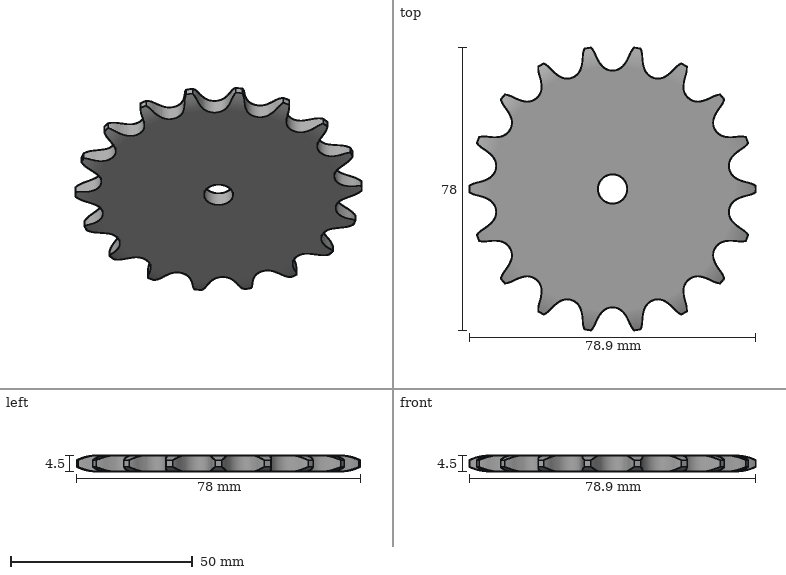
import cadquery as cq
import math

TEETH = 18
CHAIN_PITCH = 12.7
ROLLER_DIAMETER = 7.75
SEATING_CLEARANCE = 0.0381
OUTSIDE_DIAMETER = 78.9
TRIM_ALLOWANCE = 0.2
THICKNESS = 4.5
BORE_DIAMETER = 8.0

RELIEF_START_RADIUS = 33.8
RELIEF_ARC_RADIUS = CHAIN_PITCH

TOOTH_ANGLE = 2 * math.pi / TEETH
HALF_TOOTH_ANGLE = TOOTH_ANGLE / 2
PITCH_RADIUS = CHAIN_PITCH / (2 * math.sin(HALF_TOOTH_ANGLE))
TIP_RADIUS = OUTSIDE_DIAMETER / 2
UNTRIMMED_RADIUS = TIP_RADIUS + TRIM_ALLOWANCE

SEATING_RADIUS = 1.005 * ROLLER_DIAMETER / 2 + SEATING_CLEARANCE
SEATING_ANGLE = math.radians(35 + 60 / TEETH)
WORKING_ANGLE = math.radians(18 - 56 / TEETH)
WORKING_CENTER_DISTANCE = 0.8 * ROLLER_DIAMETER
WORKING_RADIUS = WORKING_CENTER_DISTANCE + SEATING_RADIUS
TOPPING_CENTER_DISTANCE = 1.4 * ROLLER_DIAMETER
TOPPING_ANGLE = math.radians(17 - 64 / TEETH)
TOPPING_RADIUS = (
    WORKING_CENTER_DISTANCE * math.cos(WORKING_ANGLE)
    + TOPPING_CENTER_DISTANCE * math.cos(TOPPING_ANGLE)
    - WORKING_RADIUS
)


def polar(center, radius, angle):
    """Point at a distance and direction from a center."""
    return (center[0] + radius * math.cos(angle), center[1] + radius * math.sin(angle))


def rotate(point, angle):
    """Point turned about the sprocket axis."""
    x, y = point
    return (
        x * math.cos(angle) - y * math.sin(angle),
        x * math.sin(angle) + y * math.cos(angle),
    )


def flank_points():
    """Right flank of a tooth gap centered on +Y, from the gap bottom to the untrimmed tip."""
    seat_center = (0, PITCH_RADIUS)
    working_center = polar(seat_center, WORKING_CENTER_DISTANCE, math.pi - SEATING_ANGLE)
    topping_center = polar(seat_center, TOPPING_CENTER_DISTANCE, -HALF_TOOTH_ANGLE)

    gap_bottom = polar(seat_center, SEATING_RADIUS, -math.pi / 2)
    seat_end = polar(seat_center, SEATING_RADIUS, -SEATING_ANGLE)

    straight_angle = WORKING_ANGLE - SEATING_ANGLE
    working_middle = polar(working_center, WORKING_RADIUS, WORKING_ANGLE / 2 - SEATING_ANGLE)
    working_end = polar(working_center, WORKING_RADIUS, straight_angle)
    topping_start_angle = straight_angle + math.pi
    topping_start = polar(topping_center, TOPPING_RADIUS, topping_start_angle)

    tooth_direction = math.pi / 2 - HALF_TOOTH_ANGLE
    center_height = (
        topping_center[0] * math.cos(tooth_direction)
        + topping_center[1] * math.sin(tooth_direction)
    )
    tip_turn = math.acos((UNTRIMMED_RADIUS - center_height) / TOPPING_RADIUS)
    tip_angle = tooth_direction + tip_turn
    topping_middle = polar(topping_center, TOPPING_RADIUS, (topping_start_angle + tip_angle) / 2)
    tip_corner = polar(topping_center, TOPPING_RADIUS, tip_angle)
    return [
        gap_bottom,
        seat_end,
        working_middle,
        working_end,
        topping_start,
        topping_middle,
        tip_corner,
    ]


def toothed_blank():
    """Plate with the tooth outline, traced clockwise from one gap to the next."""
    right_flank = flank_points()
    left_flank = [(-x, y) for x, y in reversed(right_flank)]
    outline = cq.Workplane("XY").workplane(offset=-THICKNESS / 2).moveTo(*left_flank[0])

    for gap in range(TEETH):
        angle = -gap * TOOTH_ANGLE
        left = [rotate(point, angle) for point in left_flank]
        right = [rotate(point, angle) for point in right_flank]
        outline = (
            outline.threePointArc(left[1], left[2])
            .lineTo(*left[3])
            .threePointArc(left[4], left[5])
            .threePointArc(right[0], right[1])
            .threePointArc(right[2], right[3])
            .lineTo(*right[4])
            .threePointArc(right[5], right[6])
        )
        if gap < TEETH - 1:
            next_tip = rotate(left_flank[0], angle - TOOTH_ANGLE)
            outline = outline.lineTo(*next_tip)
    return outline.close().extrude(THICKNESS)


def relief_envelope():
    """Disc with flat faces and a rounded rim that thins the teeth and trims their tips."""
    half = THICKNESS / 2

    def rim_height(radius):
        reach = radius - RELIEF_START_RADIUS
        return half - RELIEF_ARC_RADIUS + math.sqrt(RELIEF_ARC_RADIUS**2 - reach**2)

    middle_radius = (RELIEF_START_RADIUS + TIP_RADIUS) / 2
    rim_half = rim_height(TIP_RADIUS)
    middle_half = rim_height(middle_radius)
    return (
        cq.Workplane("XZ")
        .moveTo(0, -half)
        .lineTo(RELIEF_START_RADIUS, -half)
        .threePointArc((middle_radius, -middle_half), (TIP_RADIUS, -rim_half))
        .lineTo(TIP_RADIUS, rim_half)
        .threePointArc((middle_radius, middle_half), (RELIEF_START_RADIUS, half))
        .lineTo(0, half)
        .close()
        .revolve(360, (0, 0, 0), (0, 1, 0))
    )


def bore():
    """Cylinder that opens the center hole through the plate."""
    return cq.Workplane("XY").circle(BORE_DIAMETER / 2).extrude(THICKNESS, both=True)


result = toothed_blank().intersect(relief_envelope()).cut(bore())